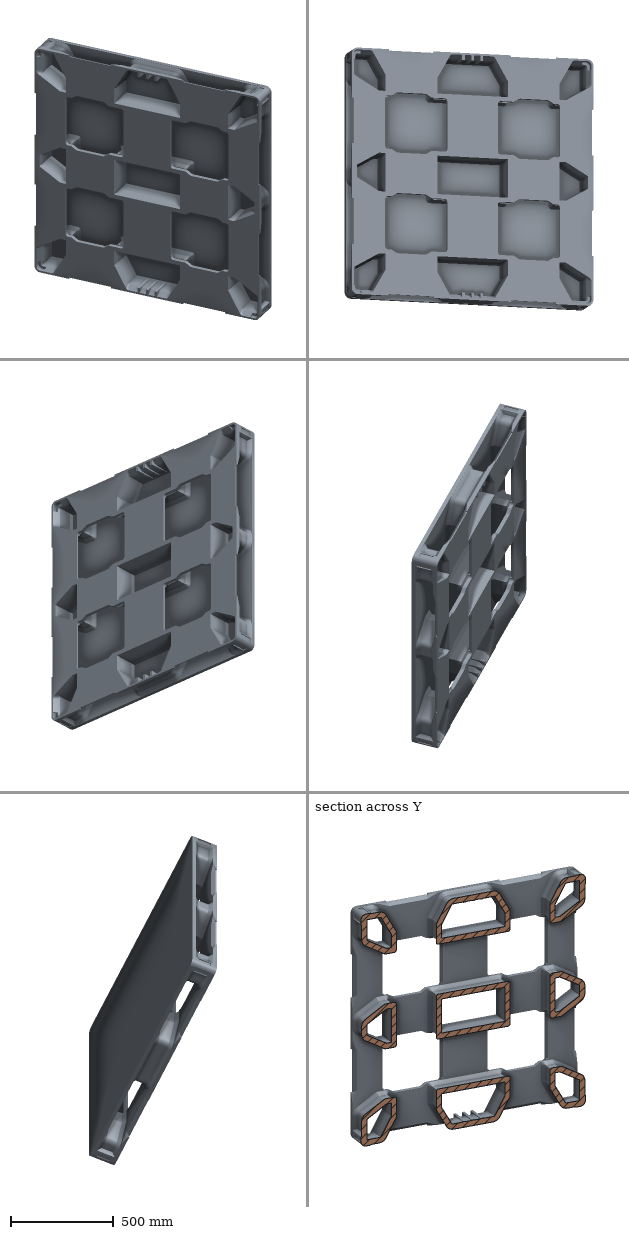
import cadquery as cq
import math

side = 1219.0
half = side / 2
thickness = 130.0
front_y = -thickness / 2
back_y = thickness / 2
corner_radius = 29.0
bottom_deck = 20.0
top_deck = 20.0
deck_inner_y = front_y + bottom_deck
top_inner_y = back_y - top_deck

center_x = 187.0
center_z = 104.0
side_x = 430.0
side_z = 394.0
steep_z = 483.0
shallow_x = 474.0
block_reach = 591.0
block_round = 32.0
flare = 17.0
flank_slope = math.tan(math.radians(60))

rim_inset = 9.0
throat_inset = 12.0
floor_inset = 18.0
floor_y = 51.0
throat_y = deck_inner_y + flare
floor_chamfer_y = floor_y - 15.0
funnel_reach = 608.0
rim_round = 18.0
throat_round = 10.0
tolerance = 0.1

rib_width = 13.0
rib_pitch = 46.0
rib_inner_z = 574.0
rib_front_z = 602.0
rib_outer_z = 585.0

column_outer = 556.0
column_inner = 544.0
ledge_inner = 558.0
ledge_outer = half - 10.0
ledge_depth = 24.0
ledge_round = 24.0
window_near = 561.0
window_far = 586.0
window_depth = 5.0
window_low_y = -34.0
window_high_y = 37.0

entry_x = (center_x + side_x) / 2
entry_z = (center_z + side_z) / 2
entry_half = 113.0
entry_depth = 7.0
entry_lip_y = front_y + 5.5
bevel_depth = 24.0
bevel_half_foot = 101.0
bevel_half_mouth = 165.0

opening_left, opening_right = -441.0, -128.0
opening_half_height = 132.0
opening_round = 13.0
bulge_half_height = 149.0
bulge_half_foot = 101.0
bulge_half_top = 73.0
bulge_round = 24.0
opening_bevel = 10.0


def at_y(y):
    """Workplane facing -Y at height y, with local axes X and Z."""
    return cq.Workplane("XZ", origin=(0, y, 0))


def four_ways(shape):
    """The shape and its mirror images in X, in Z and in both."""
    pair = [shape, shape.mirror("YZ")]
    return pair + [piece.mirror("XY") for piece in pair]


def box_between(low, high):
    size = [b - a for a, b in zip(low, high)]
    return cq.Workplane("XY").box(*size, centered=False).translate(low)


def center_outline(_reach):
    return [(-center_x, -center_z), (center_x, -center_z), (center_x, center_z), (-center_x, center_z)]


def top_outline(reach):
    tip_x = center_x - (reach - steep_z) / flank_slope
    right = [(center_x, side_z), (center_x, steep_z), (tip_x, reach)]
    return right + [(-x, z) for x, z in reversed(right)]


def left_outline(reach):
    tip_z = center_z - (reach - shallow_x) / flank_slope
    upper = [(-side_x, center_z), (-shallow_x, center_z), (-reach, tip_z)]
    return upper + [(x, -z) for x, z in reversed(upper)]


def corner_outline(reach):
    tip_x = -side_x - (reach - steep_z) / flank_slope
    tip_z = side_z + (reach - shallow_x) / flank_slope
    return [
        (-side_x, side_z),
        (-shallow_x, side_z),
        (-reach, tip_z),
        (-reach, reach),
        (tip_x, reach),
        (-side_x, steep_z),
    ]


widened = (top_outline, corner_outline)


def block(outline):
    """Block between the decks, outer corners rounded and both ends flared."""
    points = outline(block_reach)
    profile = cq.Sketch().polygon(points + points[:1])
    if outline is top_outline:
        profile = profile.vertices(">Y").fillet(block_round)
    elif outline is left_outline:
        profile = profile.vertices("<X").fillet(block_round)
    elif outline is corner_outline:
        profile = profile.vertices("<X or >Y").fillet(block_round)
    shaft = at_y(top_inner_y).placeSketch(profile).extrude(top_inner_y - deck_inner_y)
    front_flare = at_y(throat_y).placeSketch(profile).extrude(flare, taper=-45)
    back_flare = front_flare.mirror("XZ", (0, (top_inner_y + deck_inner_y) / 2, 0))
    return shaft.union(front_flare).union(back_flare)


def ruled(sections):
    """Solid with straight sides through a list of closed wires."""
    return cq.Workplane(cq.Solid.makeLoft(sections, True))


def inset_wire(points, inset, y, rounding=0):
    """Outline moved inwards, with the corners near the pallet edge rounded."""
    wire = at_y(y).polyline(points).close().offset2D(-inset, "intersection").val()
    if not rounding:
        return wire
    outermost = max(max(abs(v.X), abs(v.Z)) for v in wire.Vertices())
    corners = [v for v in wire.Vertices() if max(abs(v.X), abs(v.Z)) > outermost - tolerance]
    return wire.fillet2D(rounding, corners)


def hollow(outline):
    """Tool that empties a block: drafted walls down to a chamfered floor."""
    inner = outline(block_reach)
    sections = [
        inset_wire(inner, rim_inset, front_y),
        inset_wire(inner, throat_inset, floor_chamfer_y),
        inset_wire(inner, floor_inset, floor_y),
    ]
    tool = ruled(sections)
    if outline in widened:
        rim = inset_wire(outline(funnel_reach), rim_inset, front_y, rim_round)
        throat = inset_wire(inner, throat_inset, throat_y, throat_round)
        tool = tool.union(ruled([rim, throat]))
    return tool


def decks():
    slab = at_y(back_y).rect(side, side).extrude(thickness).edges("|Y").fillet(corner_radius)
    gap = box_between((-half, deck_inner_y, -half), (half, top_inner_y, half))
    return slab.cut(gap)


def corner_column():
    """Column at the (-X, +Z) corner, flush with the rounded pallet corner."""
    points = [
        (-half, half),
        (-column_outer, half),
        (-column_inner, block_reach),
        (-column_inner, column_inner),
        (-block_reach, column_inner),
        (-half, column_outer),
    ]
    column = at_y(back_y).polyline(points).close().extrude(thickness)
    envelope = at_y(top_inner_y).rect(side, side).extrude(top_inner_y - deck_inner_y)
    return column.intersect(envelope.edges("|Y").fillet(corner_radius))


def corner_cuts():
    """Ledge in the front of the (-X, +Z) corner and windows in its two sides."""
    ledge = box_between(
        (-ledge_outer, front_y, ledge_inner),
        (-ledge_inner, front_y + ledge_depth, ledge_outer),
    )
    ledge = ledge.edges("|Y and <X and >Z").fillet(ledge_round)
    top_window = box_between(
        (-window_far, window_low_y, half - window_depth), (-window_near, window_high_y, half)
    )
    side_window = box_between(
        (-half, window_low_y, window_near), (-half + window_depth, window_high_y, window_far)
    )
    return ledge.union(top_window).union(side_window)


def entry_recess(center):
    """Recess in the +Z edge of the bottom deck, its inner edge bevelled as a ramp."""
    floor_z = half - entry_depth
    recess = box_between((-entry_half, front_y, floor_z), (entry_half, deck_inner_y, half))
    lip = [(entry_half, half), (entry_half, floor_z)]
    mouth = [(bevel_half_mouth, half), (bevel_half_foot, half - bevel_depth)]
    sections = []
    for y, right in ((entry_lip_y, lip), (deck_inner_y, mouth)):
        left = [(-x, z) for x, z in reversed(right)]
        sections.append(at_y(y).polyline(right + left).close().val())
    return recess.union(ruled(sections)).translate((center, 0, 0))


def deck_opening():
    """Opening through the bottom deck in the (-X, +Z) quarter."""
    main = at_y(deck_inner_y).center((opening_left + opening_right) / 2, entry_z)
    main = main.rect(opening_right - opening_left, 2 * opening_half_height).extrude(bottom_deck)
    main = main.edges("|Y").fillet(opening_round)
    right = [
        (bulge_half_top, -bulge_half_height),
        (bulge_half_foot, -opening_half_height),
        (bulge_half_foot, opening_half_height),
        (bulge_half_top, bulge_half_height),
    ]
    left = [(-x, -z) for x, z in right]
    bulge = at_y(deck_inner_y).center(-entry_x, entry_z).polyline(right + left).close()
    bulge = bulge.extrude(bottom_deck).edges("|Y and (>Z or <Z)").fillet(bulge_round)
    bevel_profile = [
        (opening_right, deck_inner_y - opening_bevel),
        (opening_right + opening_bevel, deck_inner_y),
        (opening_left - opening_bevel, deck_inner_y),
        (opening_left, deck_inner_y - opening_bevel),
    ]
    bevel = cq.Workplane("XY", origin=(0, 0, entry_z)).polyline(bevel_profile).close()
    main = main.union(bevel.extrude(opening_half_height - opening_round, both=True))
    return main.union(bulge)


def ribs():
    """Ribs on the outer wall of the top middle hollow."""
    profile = [
        (front_y, rib_inner_z),
        (front_y, rib_front_z),
        (deck_inner_y, rib_front_z),
        (throat_y, rib_outer_z),
        (floor_y, rib_outer_z),
        (floor_y, rib_inner_z),
    ]
    rib = cq.Workplane("YZ").polyline(profile).close().extrude(rib_width / 2, both=True)
    return [rib.translate((i * rib_pitch, 0, 0)) for i in (-1, 0, 1)]


additions = [block(center_outline)]
cuts = [hollow(center_outline)]
for outline in (top_outline, left_outline, corner_outline):
    additions += four_ways(block(outline))
    cuts += four_ways(hollow(outline))
additions += four_ways(corner_column())
cuts += four_ways(corner_cuts())
cuts += four_ways(deck_opening())
cuts += four_ways(entry_recess(entry_x))
cuts += four_ways(entry_recess(entry_z).rotate((0, 0, 0), (0, 1, 0), 90))

result = decks()
for piece in additions:
    result = result.union(piece)
for piece in cuts:
    result = result.cut(piece)
for rib in ribs():
    result = result.union(rib).union(rib.mirror("XY"))